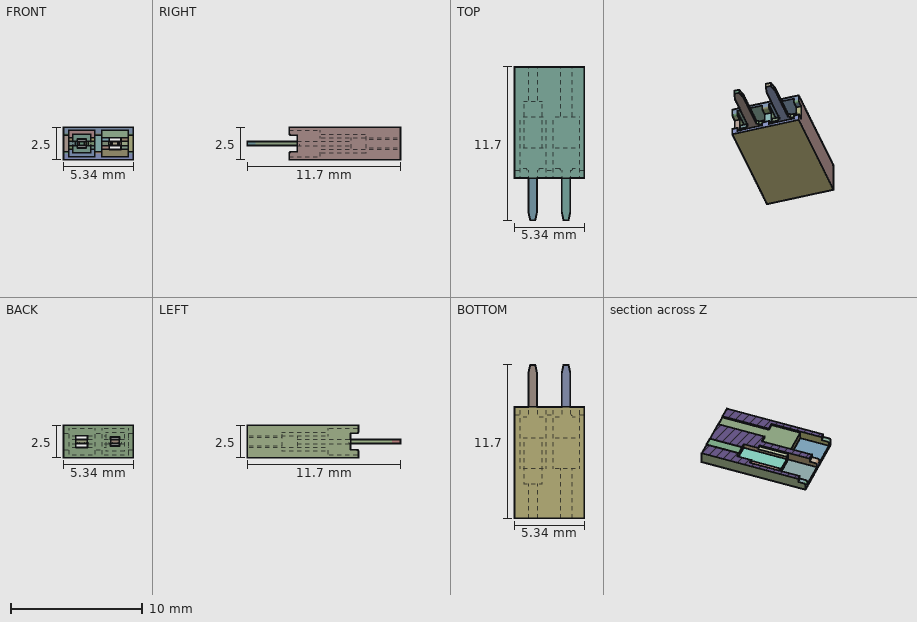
import cadquery as cq

overall_length = 11.7
housing_width = 5.34
housing_length = 8.5
housing_height = 2.5
contact_pitch = 2.54

notch_depth = 0.6
notch_height = 1.24
notch_lip_radius = 0.15
lip_reach = 0.01

cavity_size = 2.01
cavity_depth = 2.34
slot_height = 0.88
slot_depth = 4.68
left_pocket_size = 1.38
left_pocket_depth = 5.85
left_window_size = 0.68
right_window_size = 0.88

contact_thickness = 0.32
plate_front = 0.75
plate_back = slot_depth
pin_width = 0.68
pin_tip_width = 0.4
pin_taper_length = 0.64
pin_root_radius = 0.14
pin_length = overall_length - housing_length


def inward_box(x_center, width, height, start, end):
    """Box centred on Z = 0 that spans start to end along Y."""
    box = cq.Workplane("XY").box(width, end - start, height)
    return box.translate((x_center, (start + end) / 2, 0))


def make_housing():
    housing = inward_box(0, housing_width, housing_height, 0, housing_length)
    notch = inward_box(0, housing_width, notch_height, 0, notch_depth)
    housing = housing.cut(notch)
    corner = (housing_width, lip_reach, notch_height / 2 + lip_reach)
    opposite_corner = tuple(-value for value in corner)
    lips = cq.selectors.BoxSelector(opposite_corner, corner)
    return housing.edges("|X").edges(lips).fillet(notch_lip_radius)


def cut_cavity(housing, x_center, window_size):
    """Stepped cavity: square mouth, contact slot and a window through the far end."""
    mouth = inward_box(x_center, cavity_size, cavity_size, 0, cavity_depth)
    slot = inward_box(x_center, cavity_size, slot_height, 0, slot_depth)
    window = inward_box(x_center, window_size, window_size, 0, housing_length)
    return housing.cut(mouth).cut(slot).cut(window)


def make_contact(x_center):
    """Flat plate as wide as the cavity, with a tapered pin on rounded roots."""
    half_plate = cavity_size / 2
    half_pin = pin_width / 2
    half_tip = pin_tip_width / 2
    taper_start = pin_taper_length - pin_length
    half_root = half_pin + pin_root_radius
    root_end = plate_front - pin_root_radius
    outline = (
        cq.Workplane("XY", origin=(x_center, 0, -contact_thickness / 2))
        .moveTo(-half_plate, plate_back)
        .lineTo(-half_plate, plate_front)
        .lineTo(-half_root, plate_front)
        .radiusArc((-half_pin, root_end), -pin_root_radius)
        .lineTo(-half_pin, taper_start)
        .lineTo(-half_tip, -pin_length)
        .lineTo(half_tip, -pin_length)
        .lineTo(half_pin, taper_start)
        .lineTo(half_pin, root_end)
        .radiusArc((half_root, plate_front), -pin_root_radius)
        .lineTo(half_plate, plate_front)
        .lineTo(half_plate, plate_back)
        .close()
    )
    return outline.extrude(contact_thickness)


left_x = -contact_pitch / 2
right_x = contact_pitch / 2

result = make_housing()
result = cut_cavity(result, left_x, left_window_size)
result = cut_cavity(result, right_x, right_window_size)

result = result.cut(inward_box(left_x, left_pocket_size, left_pocket_size, 0, left_pocket_depth))

for contact_x in (left_x, right_x):
    result = result.union(make_contact(contact_x))